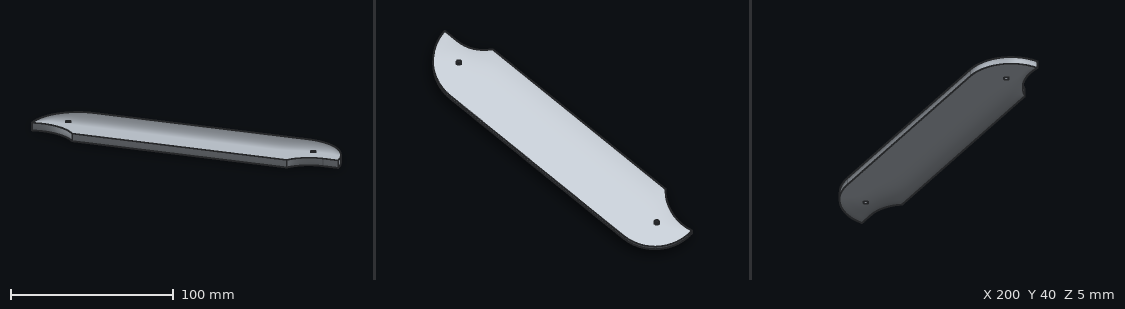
import cadquery as cq

length = 200.0
width = 40.0
thickness = 5.0
corner_radius = 30.0

cove_length = 30.0
left_cove_radius = 30.0
right_flat_length = 10.0

hole_spacing = 160.0
hole_diameter = 3.0

end_x = length / 2
top_y = width / 2
bottom_y = -width / 2
shoulder_y = top_y - corner_radius
top_edge_x = end_x - corner_radius
bottom_edge_x = end_x - cove_length

right_flat_x = end_x - right_flat_length

right_cove_run = right_flat_x - bottom_edge_x
cove_depth = shoulder_y - bottom_y
right_cove_radius = (right_cove_run**2 + cove_depth**2) / (2 * cove_depth)

plate = (
    cq.Workplane("XY")
    .moveTo(end_x, shoulder_y)
    .radiusArc((top_edge_x, top_y), -corner_radius)
    .lineTo(-top_edge_x, top_y)
    .radiusArc((-end_x, shoulder_y), -corner_radius)
    .radiusArc((-bottom_edge_x, bottom_y), left_cove_radius)
    .lineTo(bottom_edge_x, bottom_y)
    .radiusArc((right_flat_x, shoulder_y), right_cove_radius)
    .close()
    .extrude(thickness)
)

pin_holes = (
    cq.Workplane("XY")
    .pushPoints([(-hole_spacing / 2, 0), (hole_spacing / 2, 0)])
    .circle(hole_diameter / 2)
    .extrude(thickness)
)

result = plate.cut(pin_holes)